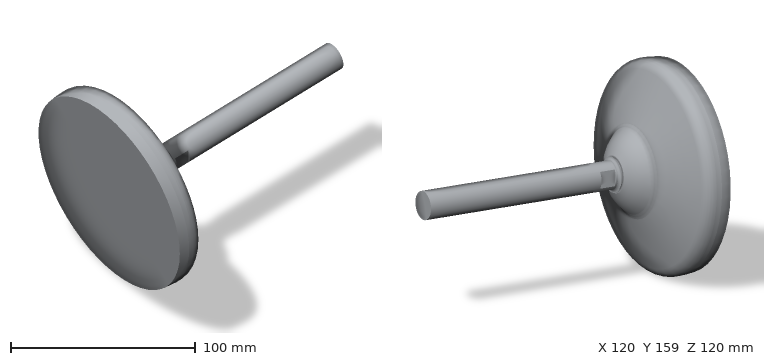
import cadquery as cq
import math

total_length = 159.0

base_diameter = 120.0
base_radius = base_diameter / 2
sole_radius = 59.3
rim_low = 6.0
rim_high = 9.2
shoulder_round = 7.2
cone_angle = math.radians(18.3)
dome_radius = 29.4
dome_centre = 10.2
base_top = 37.7
dome_foot = 26.7
dome_blend = 6.4

stem_diameter = 16.0
stem_radius = stem_diameter / 2
collar_radius = 10.0
collar_edge = 38.8
collar_top = 39.9
flare_hollow = 0.24
neck_radius = 9.2
flat_start = 41.2
flat_length = 9.2
across_flats = 13.0


def dome_width(y):
    """Radius of the dome at height y."""
    return math.sqrt(dome_radius**2 - (y - dome_centre)**2)


def revolve_about_y(profile):
    return profile.close().revolve(360, (0, 0, 0), (0, 1, 0))


def make_base():
    round_centre = base_radius - shoulder_round

    def on_round(angle):
        return (round_centre + shoulder_round * math.cos(angle),
                rim_high + shoulder_round * math.sin(angle))

    round_end = math.pi / 2 - cone_angle
    dome_top_radius = dome_width(base_top)
    dome_middle = (dome_foot + base_top) / 2
    profile = (
        cq.Workplane("XY")
        .moveTo(0, 0)
        .lineTo(sole_radius, 0)
        .lineTo(base_radius, rim_low)
        .lineTo(base_radius, rim_high)
        .threePointArc(on_round(round_end / 2), on_round(round_end))
        .lineTo(dome_width(dome_foot), dome_foot)
        .threePointArc((dome_width(dome_middle), dome_middle), (dome_top_radius, base_top))
        .lineTo(0, base_top)
    )
    dome_edge = cq.selectors.BoxSelector(
        (-base_radius, dome_foot - 0.2, -base_radius),
        (base_radius, dome_foot + 0.2, base_radius),
    )
    return revolve_about_y(profile).edges(dome_edge).fillet(dome_blend)


def make_stem():
    flare_radius = (stem_radius + collar_radius) / 2 - flare_hollow
    flare_middle = (collar_edge + collar_top) / 2 - flare_hollow
    profile = (
        cq.Workplane("XY")
        .moveTo(0, base_top)
        .lineTo(neck_radius, base_top)
        .lineTo(neck_radius, collar_edge)
        .lineTo(collar_radius, collar_edge)
        .threePointArc((flare_radius, flare_middle), (stem_radius, collar_top))
        .lineTo(stem_radius, total_length)
        .lineTo(0, total_length)
    )
    stem = revolve_about_y(profile)
    flat_middle = flat_start + flat_length / 2
    for side in (-1, 1):
        cutter_x = side * (across_flats / 2 + stem_radius / 2)
        cutter = cq.Workplane("XY").box(stem_radius, flat_length, 2 * stem_radius)
        stem = stem.cut(cutter.translate((cutter_x, flat_middle, 0)))
    return stem


base = make_base()
stem = make_stem()
result = cq.Compound.makeCompound([base.val(), stem.val()])